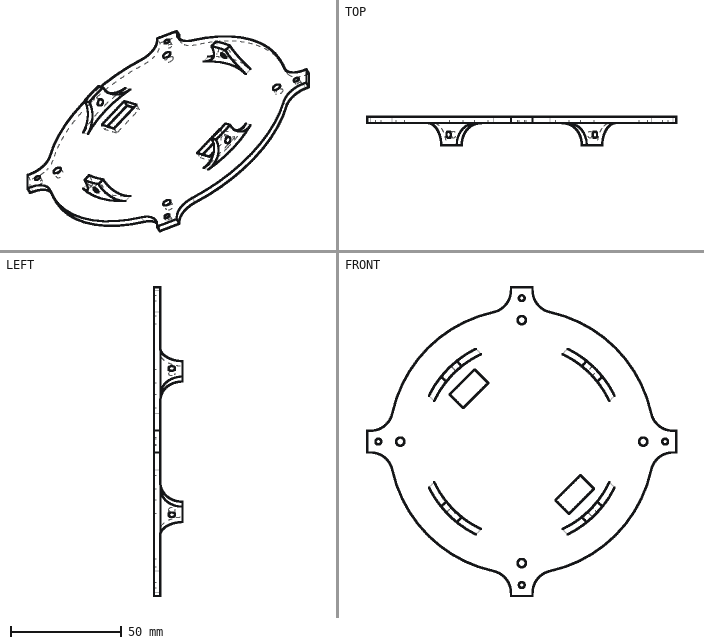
import cadquery as cq
import math

span = 140.0
disc_radius = 60.0
plate_thickness = 3.0
tab_width = 10.0
blend_radius = 10.0

tab_hole_diameter = 2.5
tab_hole_radius = 65.0
mount_hole_diameter = 3.6
mount_hole_radius = 55.0

total_depth = 13.0
lug_inner_radius = 43.7
lug_wall = 3.2
lug_height = total_depth - plate_thickness
lug_blend_radius = lug_height
lug_hole_diameter = 3.0
lug_hole_height = 5.2
lug_angles = (45, 135, 225, 315)

window_width = 8.7
window_length = 16.0
window_radius = 33.9
window_angles = (135, 315)

half_tab = tab_width / 2
blend_offset = half_tab + blend_radius
lug_foot = half_tab + lug_blend_radius


def turn_about_y(shape, angle):
    """Turn a shape built at angle 0 (along +X) about the Y axis, towards +Z."""
    return shape.rotate((0, 0, 0), (0, 1, 0), -angle)


def make_tab():
    """Tab along +X whose flanks run tangent into the disc rim."""
    center_x = math.sqrt((disc_radius + blend_radius) ** 2 - blend_offset**2)
    rim_ratio = disc_radius / (disc_radius + blend_radius)
    rim_x = center_x * rim_ratio
    rim_z = blend_offset * rim_ratio
    rim_direction = math.atan2(-blend_offset, -center_x) + 2 * math.pi
    tab_direction = 1.5 * math.pi
    mid_direction = (rim_direction + tab_direction) / 2
    mid_x = center_x + blend_radius * math.cos(mid_direction)
    mid_z = blend_offset + blend_radius * math.sin(mid_direction)
    return (
        cq.Workplane("XZ")
        .lineTo(rim_x, rim_z)
        .threePointArc((mid_x, mid_z), (center_x, half_tab))
        .lineTo(span / 2, half_tab)
        .lineTo(span / 2, -half_tab)
        .lineTo(center_x, -half_tab)
        .threePointArc((mid_x, -mid_z), (rim_x, -rim_z))
        .close()
        .extrude(-plate_thickness)
    )


def make_lug():
    """Lug at angle 0: a flared profile cut from a ring; it overlaps the plate to its back face."""
    outer_radius = lug_inner_radius + lug_wall
    ring = (
        cq.Workplane("XZ", origin=(0, plate_thickness, 0))
        .circle(outer_radius)
        .circle(lug_inner_radius)
        .extrude(total_depth)
    )
    bend = lug_blend_radius * math.sqrt(0.5)
    tip = -lug_height
    flare = (
        cq.Workplane("YZ")
        .moveTo(plate_thickness, lug_foot)
        .lineTo(0, lug_foot)
        .threePointArc((tip + bend, lug_foot - bend), (tip, half_tab))
        .lineTo(tip, -half_tab)
        .threePointArc((tip + bend, bend - lug_foot), (0, -lug_foot))
        .lineTo(plate_thickness, -lug_foot)
        .close()
        .extrude(outer_radius)
    )
    hole = (
        cq.Workplane("YZ")
        .center(-lug_hole_height, 0)
        .circle(lug_hole_diameter / 2)
        .extrude(outer_radius)
    )
    return ring.intersect(flare).cut(hole)


def make_axis_holes():
    """Through holes in line with the tab at angle 0."""
    tab_hole = cq.Workplane("XZ").center(tab_hole_radius, 0).circle(tab_hole_diameter / 2)
    mount_hole = cq.Workplane("XZ").center(mount_hole_radius, 0).circle(mount_hole_diameter / 2)
    return tab_hole.extrude(-plate_thickness).union(mount_hole.extrude(-plate_thickness))


def make_window():
    """Through window at angle 0, its long side tangential."""
    outline = cq.Workplane("XZ").center(window_radius, 0).rect(window_width, window_length)
    return outline.extrude(-plate_thickness)


result = cq.Workplane("XZ").circle(disc_radius).extrude(-plate_thickness)

for tab_angle in (0, 90, 180, 270):
    result = result.union(turn_about_y(make_tab(), tab_angle))
    result = result.cut(turn_about_y(make_axis_holes(), tab_angle))

for window_angle in window_angles:
    result = result.cut(turn_about_y(make_window(), window_angle))

for lug_angle in lug_angles:
    result = result.union(turn_about_y(make_lug(), lug_angle))